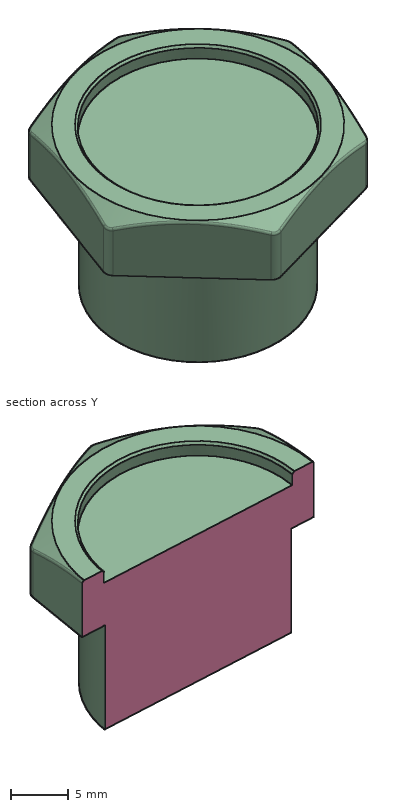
import cadquery as cq
import math

across_flats = 26.0
total_height = 18.5
head_height = 6.5
shank_diameter = 20.95

corner_radius = 1.0
crown_diameter = 25.65
crown_angle = 30
edge_radius = 0.3

recess_diameter = 21.1
recess_depth = 1.5
rim_chamfer = 0.25

shank_length = total_height - head_height
corner_distance = across_flats / math.cos(math.radians(30))


def hexagon_head():
    """Hexagon with two corners on the Y axis, rounded corners and a conical crown."""
    prism = (
        cq.Workplane("XY")
        .workplane(offset=shank_length)
        .transformed(rotate=(0, 0, 30))
        .polygon(6, corner_distance)
        .extrude(head_height)
        .edges("|Z")
        .fillet(corner_radius)
    )
    crown_radius = crown_diameter / 2
    cone_radius = corner_distance / 2
    crown_drop = (cone_radius - crown_radius) * math.tan(math.radians(crown_angle))
    envelope = (
        cq.Workplane("XZ")
        .moveTo(0, shank_length)
        .lineTo(cone_radius, shank_length)
        .lineTo(cone_radius, total_height - crown_drop)
        .lineTo(crown_radius, total_height)
        .lineTo(0, total_height)
        .close()
        .revolve(360, (0, 0, 0), (0, 1, 0))
    )
    head = prism.intersect(envelope)
    cone_edges = head.faces("%CONE").edges().edges("not(>Z)")
    return head.newObject(cone_edges.vals()).fillet(edge_radius)


def shank():
    return cq.Workplane("XY").circle(shank_diameter / 2).extrude(shank_length)


def recess():
    """Flat-bottomed round pocket, widened by a chamfer at its rim."""
    radius = recess_diameter / 2
    floor = total_height - recess_depth
    return (
        cq.Workplane("XZ")
        .moveTo(0, floor)
        .lineTo(radius, floor)
        .lineTo(radius, total_height - rim_chamfer)
        .lineTo(radius + rim_chamfer, total_height)
        .lineTo(0, total_height)
        .close()
        .revolve(360, (0, 0, 0), (0, 1, 0))
    )


result = hexagon_head().union(shank()).cut(recess())